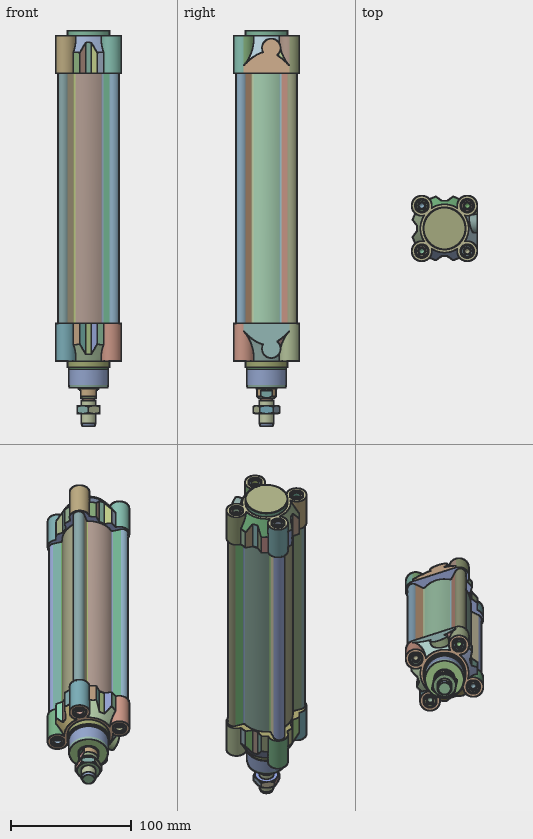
import cadquery as cq
import math

TOTAL_LENGTH = 328.0
PILOT_HEIGHT = 4.3
CAP_LENGTH = 31.0
FRONT_CAP_BOTTOM = 54.0
FRONT_CAP_TOP = FRONT_CAP_BOTTOM + CAP_LENGTH
REAR_CAP_TOP = TOTAL_LENGTH - PILOT_HEIGHT
REAR_CAP_BOTTOM = REAR_CAP_TOP - CAP_LENGTH

CAP_WIDTH = 54.5
HALF_WIDTH = CAP_WIDTH / 2
POST_DIAMETER = 16.7
POST_OFFSET = HALF_WIDTH - POST_DIAMETER / 2
RIB_FOOT = (12.5, 24.3)
RIB_TIP = (7.2, 26.5)
VALLEY_CORNER = (2.3, 23.0)
SHOULDER_DIAMETER = 40.0
SHOULDER_ANGLE = 28.0
PILOT_DIAMETER = 35.0
PILOT_CHAMFER = 0.3
PORT_BOSS_DIAMETER = 15.5
PORT_BOSS_Y = 4.0
PORT_BOSS_DEPTH = 10.2

RECESS_DIAMETER = 11.5
RECESS_DEPTH = 2.0
HEAD_DIAMETER = 10.2
HEAD_CHAMFER = 0.3
HEAD_HEIGHT = 1.3
SOCKET_DIAMETER = 6.2
SOCKET_DEPTH = 4.0
PIT_DIAMETER = 5.0
PIT_DEPTH = 1.5

COLLAR_STEP_HEIGHT = 5.2
COLLAR_DIAMETER = 33.0
COLLAR_BOTTOM = 31.8
COLLAR_CHAMFER = 0.5
COLLAR_CHAMFER_HEIGHT = 2.5
RELIEF_DIAMETER = 32.8
RELIEF_HEIGHT = 1.5
WIPER_DIAMETER = 17.5
WIPER_HEIGHT = 0.5

BARREL_RADIUS = 22.0
LOBE_DIAMETER = 9.5
LOBE_RADIUS = LOBE_DIAMETER / 2
LOBE_FILLET = 1.3
BARREL_HALF_WIDTH = 25.42
LOBE_OFFSET = BARREL_HALF_WIDTH - LOBE_RADIUS

ROD_DIAMETER = 16.0
ROD_SHOULDER = 23.0
ROD_CHAMFER = 2.0
FLAT_WIDTH = 13.0
FLAT_TOP = 29.5
NECK_DIAMETER = 10.0
THREAD_DIAMETER = 12.0
THREAD_TOP = 21.3
THREAD_CHAMFER = 1.0
THREAD_CHAMFER_HEIGHT = 2.5

NUT_WIDTH = 19.0
NUT_HEIGHT = 6.5
NUT_BOTTOM = 10.5
NUT_CHAMFER_ANGLE = 30.0


def cylinder(diameter, height, bottom=0.0):
    return cq.Workplane("XY").workplane(offset=bottom).circle(diameter / 2).extrude(height)


def rib_side():
    """One ribbed side facing -Y, from the axis out to both ribs."""
    half = [VALLEY_CORNER, RIB_TIP, RIB_FOOT, (POST_OFFSET, POST_OFFSET)]
    right = [(x, -y) for x, y in half]
    left = [(-x, y) for x, y in reversed(right)]
    return cq.Workplane("XY").polyline(left + right + [(0, 0)]).close().extrude(CAP_LENGTH)


def shoulder_cone():
    """Cone that limits the space between the posts, widening away from the end face."""
    top_radius = SHOULDER_DIAMETER / 2
    bottom_radius = top_radius + CAP_LENGTH * math.tan(math.radians(SHOULDER_ANGLE))
    outline = [(0, 0), (bottom_radius, 0), (top_radius, CAP_LENGTH), (0, CAP_LENGTH)]
    return cq.Workplane("XZ").polyline(outline).close().revolve(360, (0, 0, 0), (0, 1, 0))


def at_posts(solid):
    """Copies of a solid, one on each corner post axis."""
    copies = cq.Workplane("XY")
    for x in (-POST_OFFSET, POST_OFFSET):
        for y in (-POST_OFFSET, POST_OFFSET):
            copies = copies.add(solid.translate((x, y, 0)))
    return copies.combine()


def port_boss():
    """Round port boss that rises out of the shoulder and ends flush with the +X side."""
    boss = cq.Workplane("YZ").center(PORT_BOSS_Y, CAP_LENGTH - PORT_BOSS_DEPTH)
    return boss.circle(PORT_BOSS_DIAMETER / 2).extrude(HALF_WIDTH)


def cap_block():
    """Cap standing on Z = 0 with its end face and screw heads on top."""
    core = cq.Workplane("XY").box(HALF_WIDTH, 2 * POST_OFFSET, CAP_LENGTH, centered=(False, True, False))
    for angle in (0, 180, 270):
        core = core.union(rib_side().rotate((0, 0, 0), (0, 0, 1), angle))
    block = core.intersect(shoulder_cone()).union(port_boss())
    block = block.union(at_posts(cylinder(POST_DIAMETER, CAP_LENGTH)))
    recess_floor = CAP_LENGTH - RECESS_DEPTH
    head_top = recess_floor + HEAD_HEIGHT
    socket_floor = head_top - SOCKET_DEPTH
    recess = cylinder(RECESS_DIAMETER, RECESS_DEPTH, recess_floor)
    head = cylinder(HEAD_DIAMETER, HEAD_HEIGHT, recess_floor).faces(">Z").chamfer(HEAD_CHAMFER)
    socket = cylinder(SOCKET_DIAMETER, SOCKET_DEPTH, socket_floor)
    pit = cq.Workplane(cq.Solid.makeCone(0, PIT_DIAMETER / 2, PIT_DEPTH))
    pit = pit.translate((0, 0, socket_floor - PIT_DEPTH))
    return block.cut(at_posts(recess)).union(at_posts(head)).cut(at_posts(socket)).cut(at_posts(pit))


def make_rear_cap():
    pilot = cylinder(PILOT_DIAMETER, PILOT_HEIGHT, CAP_LENGTH).faces(">Z").chamfer(PILOT_CHAMFER)
    return cap_block().union(pilot).translate((0, 0, REAR_CAP_BOTTOM))


def make_front_cap():
    cap = cap_block().mirror("XY").translate((0, 0, FRONT_CAP_TOP))
    step_bottom = FRONT_CAP_BOTTOM - COLLAR_STEP_HEIGHT
    step = cylinder(PILOT_DIAMETER, COLLAR_STEP_HEIGHT, step_bottom)
    collar = cylinder(COLLAR_DIAMETER, step_bottom - COLLAR_BOTTOM, COLLAR_BOTTOM)
    collar = collar.faces("<Z").chamfer(COLLAR_CHAMFER_HEIGHT, COLLAR_CHAMFER)
    relief_bottom = step_bottom - RELIEF_HEIGHT
    relief = cylinder(COLLAR_DIAMETER, RELIEF_HEIGHT, relief_bottom)
    collar = collar.cut(relief).union(cylinder(RELIEF_DIAMETER, RELIEF_HEIGHT, relief_bottom))
    wiper = cylinder(WIPER_DIAMETER, WIPER_HEIGHT, COLLAR_BOTTOM - WIPER_HEIGHT)
    rod_bore = cylinder(ROD_DIAMETER, FRONT_CAP_TOP)
    return cap.union(step).union(collar).union(wiper).cut(rod_bore)


def make_barrel():
    """Round barrel with a round-ended lobe along each diagonal."""
    length = REAR_CAP_BOTTOM - FRONT_CAP_TOP
    lobe_span = 2 * math.sqrt(2) * LOBE_OFFSET + LOBE_DIAMETER
    barrel = cylinder(2 * BARREL_RADIUS, length)
    for angle in (45, 135):
        barrel = barrel.union(cq.Workplane("XY").slot2D(lobe_span, LOBE_DIAMETER, angle).extrude(length))
    root = BARREL_RADIUS
    roots = cq.selectors.BoxSelector((-root, -root, 0), (root, root, length))
    barrel = barrel.edges("|Z").edges(roots).fillet(LOBE_FILLET)
    return barrel.translate((0, 0, FRONT_CAP_TOP))


def wrench_flat():
    """Material removed for the flat on the +X side of the rod."""
    flat = FLAT_WIDTH / 2
    outside = ROD_DIAMETER / 2
    outline = [(flat, ROD_SHOULDER), (outside, ROD_SHOULDER), (outside, FLAT_TOP + outside - flat),
               (flat, FLAT_TOP)]
    return cq.Workplane("XZ").polyline(outline).close().extrude(outside, both=True)


def make_rod():
    thread = cylinder(THREAD_DIAMETER, THREAD_TOP)
    thread = thread.faces("<Z").chamfer(THREAD_CHAMFER_HEIGHT, THREAD_CHAMFER)
    neck = cylinder(NECK_DIAMETER, ROD_SHOULDER - THREAD_TOP, THREAD_TOP)
    shank = cylinder(ROD_DIAMETER, FRONT_CAP_TOP - ROD_SHOULDER, ROD_SHOULDER)
    shank = shank.faces("<Z").chamfer(ROD_CHAMFER)
    shank = shank.cut(wrench_flat()).cut(wrench_flat().mirror("YZ"))
    return thread.union(neck).union(shank)


def make_nut():
    """Hexagon nut with flats facing +X and -X and both ends chamfered."""
    corner_radius = NUT_WIDTH / math.sqrt(3)
    flat_radius = NUT_WIDTH / 2
    drop = (corner_radius - flat_radius) * math.tan(math.radians(NUT_CHAMFER_ANGLE))
    hexagon = cq.Workplane("XY").polygon(6, 2 * corner_radius).extrude(NUT_HEIGHT)
    hexagon = hexagon.rotate((0, 0, 0), (0, 0, 1), 90)
    outline = [(0, 0), (flat_radius, 0), (corner_radius, drop), (corner_radius, NUT_HEIGHT - drop),
               (flat_radius, NUT_HEIGHT), (0, NUT_HEIGHT)]
    envelope = cq.Workplane("XZ").polyline(outline).close().revolve(360, (0, 0, 0), (0, 1, 0))
    nut = hexagon.intersect(envelope).cut(cylinder(THREAD_DIAMETER, NUT_HEIGHT))
    return nut.translate((0, 0, NUT_BOTTOM))


rear_cap = make_rear_cap()
front_cap = make_front_cap()
barrel = make_barrel()
rod = make_rod()
nut = make_nut()

result = cq.Compound.makeCompound([rear_cap.val(), front_cap.val(), barrel.val(), rod.val(), nut.val()])